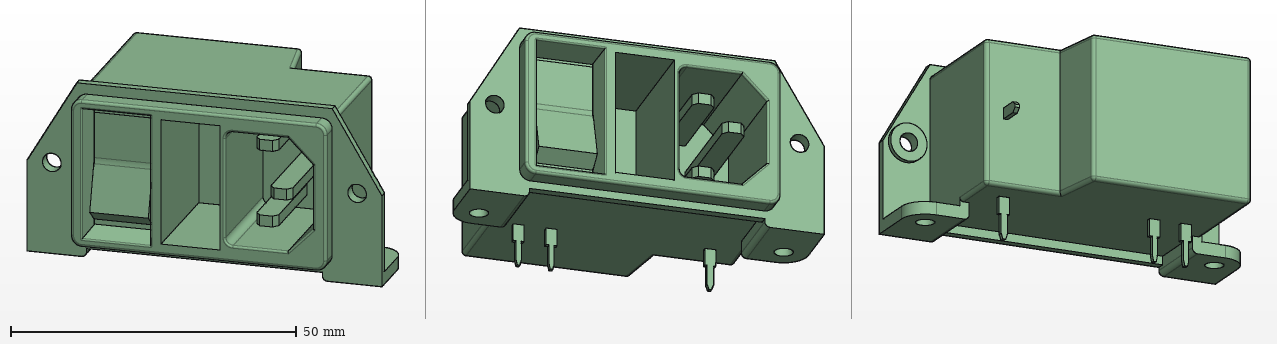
import cadquery as cq

FLANGE_WIDTH = 65.0
FLANGE_THICKNESS = 1.6
FLANGE_TOP = 15.55
FLANGE_BOTTOM = -15.1
SHOULDER_Z = 0.25

BODY_WIDTH = 46.8
BODY_HEIGHT = 27.0
BODY_BACK = 34.6
BODY_ROUND = 0.75
STEP_BACK = 24.5
STEP_TOP_X = 7.35
STEP_ROOT_X = 9.0
BEZEL_DEPTH = 3.5
BEZEL_HEIGHT = 27.25
BEZEL_CORNER = 1.95
BEZEL_EDGE = 0.5
FRONT = -BEZEL_DEPTH

FOOT_BOTTOM = -16.65
FOOT_THICKNESS = 2.35
FOOT_LENGTH = 13.9
FOOT_INNER_X = 21.6
FOOT_ROUND = 1.0
FOOT_CORNER = 4.55

HOLE_DIAMETER = 3.4
HOLE_X = 27.95
FOOT_HOLE_Y = FOOT_LENGTH - FOOT_CORNER
BOSS_DIAMETER = 7.0
BOSS_HEIGHT = 1.0

FUSE_LEFT = -6.9
FUSE_RIGHT = 3.9
FUSE_HEIGHT = 23.1
FUSE_DEPTH = 22.75

INLET_LEFT = 4.9
INLET_RIGHT = 20.9
INLET_HEIGHT = 21.1
INLET_BEVEL = 4.6
INLET_CORNER = 1.35
INLET_RIM = 0.4
INLET_DEPTH = 22.75
INLET_FLOOR = FRONT + INLET_DEPTH

BLADE_WIDTH = 4.0
BLADE_THICKNESS = 2.0
BLADE_CHAMFER_WIDTH = 0.85
BLADE_CHAMFER_LENGTH = 1.05
LINE_BLADE_X = 10.9
LINE_BLADE_Z = 7.0
LINE_BLADE_TIP = 1.25
EARTH_BLADE_X = 14.95
EARTH_BLADE_TIP = -3.5

TERMINAL_THICKNESS = 0.85
TERMINAL_WIDTH = 2.0
TERMINAL_TIP_TAPER = 1.0
TERMINAL_TIP_WIDTH = 0.5
PIN_Y = 19.0
PIN_BOTTOM = -21.25
PINS = [(-17.8, 1.0), (-11.75, 0.9), (17.35, 1.25)]
REAR_TAB_X = 19.5
REAR_TAB_END = 29.4

SWITCH_X = -15.1
RECESS_WIDTH = 12.6
RECESS_HEIGHT = 24.25
RECESS_RIM = 0.3
RECESS_FLOOR_WIDTH = 10.45
RECESS_FLOOR_HEIGHT = 21.25
RECESS_FLOOR = 0.7

BASE_BACK = 5.2

ROCKER_WIDTH = 10.7
ROCKER_TOP = 10.15
ROCKER_BOTTOM = -9.7
ROCKER_FACE = RECESS_FLOOR
ROCKER_BACK = 3.9
ROCKER_TIP_Y = -1.8
ROCKER_TIP_Z = -7.6
ROCKER_BEND_Z = 1.2
ROCKER_BEND_RADIUS = 3.9


def block(x0, x1, y0, y1, z0, z1):
    """Box between two corners."""
    return cq.Workplane("XY").box(x1 - x0, y1 - y0, z1 - z0, centered=False).translate((x0, y0, z0))


def facing_front(y):
    """Sketch plane at depth y, with local x, y along X, Z; extrusion goes toward -Y."""
    return cq.Workplane("XZ", origin=(0, y, 0))


def make_flange():
    half = FLANGE_WIDTH / 2
    top_half = BODY_WIDTH / 2
    outline = [
        (-top_half, FLANGE_TOP), (top_half, FLANGE_TOP), (half, SHOULDER_Z), (half, FLANGE_BOTTOM),
        (-half, FLANGE_BOTTOM), (-half, SHOULDER_Z),
    ]
    flange = facing_front(FLANGE_THICKNESS).polyline(outline).close().extrude(FLANGE_THICKNESS)
    bosses = (
        facing_front(FLANGE_THICKNESS + BOSS_HEIGHT)
        .pushPoints([(-HOLE_X, SHOULDER_Z), (HOLE_X, SHOULDER_Z)])
        .circle(BOSS_DIAMETER / 2)
        .extrude(BOSS_HEIGHT)
    )
    return flange.union(bosses)


def make_rear_body():
    half = BODY_WIDTH / 2
    outline = [
        (-half, 0), (half, 0), (half, STEP_BACK), (STEP_ROOT_X, STEP_BACK),
        (STEP_TOP_X, BODY_BACK), (-half, BODY_BACK),
    ]
    body = (
        cq.Workplane("XY", origin=(0, 0, -BODY_HEIGHT / 2))
        .polyline(outline).close().extrude(BODY_HEIGHT)
    )
    front_edges = body.edges("<Y")
    corner = 0.05
    step_root = body.edges(cq.selectors.BoxSelector(
        (STEP_ROOT_X - corner, STEP_BACK - corner, -corner),
        (STEP_ROOT_X + corner, STEP_BACK + corner, corner),
    ))
    kept_sharp = {edge.hashCode() for edge in front_edges.vals() + step_root.vals()}
    rounded = [edge for edge in body.edges().vals() if edge.hashCode() not in kept_sharp]
    return body.newObject(rounded).fillet(BODY_ROUND)


def make_bezel():
    return (
        facing_front(0).rect(BODY_WIDTH, BEZEL_HEIGHT).extrude(BEZEL_DEPTH)
        .edges("|Y").fillet(BEZEL_CORNER)
        .faces("<Y").edges().fillet(BEZEL_EDGE)
    )


def make_left_foot():
    plate = block(
        -FLANGE_WIDTH / 2, -FOOT_INNER_X, 0, FOOT_LENGTH, FOOT_BOTTOM, FOOT_BOTTOM + FOOT_THICKNESS
    )
    plate = plate.edges("|Z and <X and >Y").fillet(FOOT_CORNER)
    riser = block(
        -BODY_WIDTH / 2, -FOOT_INNER_X, 0, FOOT_LENGTH, FOOT_BOTTOM, BODY_ROUND - BODY_HEIGHT / 2
    )
    flange_leg = block(
        -FLANGE_WIDTH / 2, -FOOT_INNER_X, 0, FLANGE_THICKNESS, FOOT_BOTTOM, FLANGE_BOTTOM
    )
    foot = plate.union(riser).union(flange_leg).clean()
    return foot.edges("|Y and >X and <Z").fillet(FOOT_ROUND)


def cut_screw_holes(housing):
    for x in (-HOLE_X, HOLE_X):
        flange_hole = (
            facing_front(FLANGE_THICKNESS + BOSS_HEIGHT).center(x, SHOULDER_Z)
            .circle(HOLE_DIAMETER / 2).extrude(FLANGE_THICKNESS + BOSS_HEIGHT)
        )
        foot_hole = (
            cq.Workplane("XY", origin=(x, FOOT_HOLE_Y, FOOT_BOTTOM))
            .circle(HOLE_DIAMETER / 2).extrude(FOOT_THICKNESS)
        )
        housing = housing.cut(flange_hole).cut(foot_hole)
    return housing


def front_edges_within(solid, x0, x1, half_height):
    """Edges on the bezel front that lie wholly inside a rectangle."""
    margin = 0.05
    return solid.edges(cq.selectors.BoxSelector(
        (x0 - margin, FRONT - margin, -half_height - margin),
        (x1 + margin, FRONT + margin, half_height + margin),
        boundingbox=True,
    ))


def make_inlet_cavity():
    half = INLET_HEIGHT / 2
    outline = [
        (INLET_LEFT, -half), (INLET_RIGHT - INLET_BEVEL, -half), (INLET_RIGHT, INLET_BEVEL - half),
        (INLET_RIGHT, half - INLET_BEVEL), (INLET_RIGHT - INLET_BEVEL, half), (INLET_LEFT, half),
    ]
    return (
        facing_front(INLET_FLOOR).polyline(outline).close().extrude(INLET_DEPTH)
        .edges("|Y and <X").fillet(INLET_CORNER)
    )


def cut_inlet(housing):
    """Cut the inlet and round its rim."""
    housing = housing.cut(make_inlet_cavity())
    rim = front_edges_within(housing, INLET_LEFT, INLET_RIGHT, INLET_HEIGHT / 2)
    return rim.fillet(INLET_RIM)


def make_blade(x, z, tip_y):
    """Flat inlet blade standing on the inlet floor, with both tip corners bevelled."""
    half = BLADE_WIDTH / 2
    tip_half = half - BLADE_CHAMFER_WIDTH
    bevel_y = tip_y + BLADE_CHAMFER_LENGTH
    return (
        cq.Workplane("XY", origin=(x, 0, z))
        .polyline([
            (-half, INLET_FLOOR), (-half, bevel_y), (-tip_half, tip_y),
            (tip_half, tip_y), (half, bevel_y), (half, INLET_FLOOR),
        ])
        .close().extrude(BLADE_THICKNESS / 2, both=True)
    )


def make_pin(x, shank_width):
    """Flat solder pin below the body: wide root, narrow shank, tapered tip."""
    root, shank, tip = TERMINAL_WIDTH / 2, shank_width / 2, TERMINAL_TIP_WIDTH / 2
    top = -BODY_HEIGHT / 2
    taper_z = PIN_BOTTOM + TERMINAL_TIP_TAPER
    return (
        cq.Workplane("XZ", origin=(x, PIN_Y, 0))
        .polyline([
            (-root, top), (-root, FOOT_BOTTOM), (-shank, FOOT_BOTTOM), (-shank, taper_z),
            (-tip, PIN_BOTTOM), (tip, PIN_BOTTOM), (shank, taper_z), (shank, FOOT_BOTTOM),
            (root, FOOT_BOTTOM), (root, top),
        ])
        .close().extrude(TERMINAL_THICKNESS / 2, both=True)
    )


def make_rear_tab():
    """Upright tab on the back of the step, with a tapered tip."""
    half, tip = TERMINAL_WIDTH / 2, TERMINAL_TIP_WIDTH / 2
    taper_y = REAR_TAB_END - TERMINAL_TIP_TAPER
    return (
        cq.Workplane("YZ", origin=(REAR_TAB_X, 0, 0))
        .polyline([
            (STEP_BACK, -half), (taper_y, -half), (REAR_TAB_END, -tip),
            (REAR_TAB_END, tip), (taper_y, half), (STEP_BACK, half),
        ])
        .close().extrude(TERMINAL_THICKNESS / 2, both=True)
    )


def make_switch_recess():
    """Hollow of the switch recess: tapered, with a mouth flared by the rounded rim.

    The rim is rounded on a plain surround, and the hollow is what that surround lacks.
    """
    depth = RECESS_FLOOR - FRONT
    taper = (
        facing_front(RECESS_FLOOR).center(SWITCH_X, 0)
        .rect(RECESS_FLOOR_WIDTH, RECESS_FLOOR_HEIGHT)
        .workplane(offset=depth)
        .rect(RECESS_WIDTH, RECESS_HEIGHT)
        .loft()
    )
    surround = (
        facing_front(RECESS_FLOOR).center(SWITCH_X, 0)
        .rect(RECESS_WIDTH + 4 * RECESS_RIM, RECESS_HEIGHT + 4 * RECESS_RIM)
        .extrude(depth)
    )
    half_width = RECESS_WIDTH / 2
    rim = front_edges_within(
        surround.cut(taper), SWITCH_X - half_width, SWITCH_X + half_width, RECESS_HEIGHT / 2
    )
    return surround.cut(rim.fillet(RECESS_RIM))


def make_housing(switch_parts):
    """Enclosure with its blades and terminals, hollowed to receive the switch parts."""
    left_foot = make_left_foot()
    housing = make_flange().union(make_rear_body()).union(make_bezel())
    housing = housing.union(left_foot).union(left_foot.mirror("YZ"))
    housing = cut_screw_holes(housing)
    housing = housing.cut(make_switch_recess())
    for part in switch_parts:
        housing = housing.cut(part)
    housing = housing.cut(
        block(FUSE_LEFT, FUSE_RIGHT, FRONT, FRONT + FUSE_DEPTH, -FUSE_HEIGHT / 2, FUSE_HEIGHT / 2)
    )
    housing = cut_inlet(housing)
    for z in (-LINE_BLADE_Z, LINE_BLADE_Z):
        housing = housing.union(make_blade(LINE_BLADE_X, z, LINE_BLADE_TIP))
    housing = housing.union(make_blade(EARTH_BLADE_X, 0, EARTH_BLADE_TIP))
    for x, shank_width in PINS:
        housing = housing.union(make_pin(x, shank_width))
    return housing.union(make_rear_tab())


def make_rocker():
    """Rocker with its lower half tilted out; the bend between the halves is rounded."""
    rocker = (
        cq.Workplane("YZ", origin=(SWITCH_X, 0, 0))
        .polyline([
            (ROCKER_BACK, ROCKER_TOP), (ROCKER_FACE, ROCKER_TOP), (ROCKER_FACE, ROCKER_BEND_Z),
            (ROCKER_TIP_Y, ROCKER_TIP_Z), (RECESS_FLOOR, ROCKER_BOTTOM), (ROCKER_BACK, ROCKER_BOTTOM),
        ])
        .close().extrude(ROCKER_WIDTH / 2, both=True)
    )
    margin = 0.05
    bend = rocker.edges(cq.selectors.BoxSelector(
        (SWITCH_X - margin, ROCKER_FACE - margin, ROCKER_BEND_Z - margin),
        (SWITCH_X + margin, ROCKER_FACE + margin, ROCKER_BEND_Z + margin),
    ))
    return bend.fillet(ROCKER_BEND_RADIUS)


def make_switch_base(rocker):
    """Block behind the recess, with a seat that the rocker fills."""
    half_width, half_height = ROCKER_WIDTH / 2, RECESS_FLOOR_HEIGHT / 2
    base = block(
        SWITCH_X - half_width, SWITCH_X + half_width, RECESS_FLOOR, BASE_BACK, -half_height, half_height
    )
    return base.cut(rocker)


rocker = make_rocker()
switch_base = make_switch_base(rocker)
housing = make_housing([switch_base, rocker])

result = cq.Compound.makeCompound([housing.val(), switch_base.val(), rocker.val()])